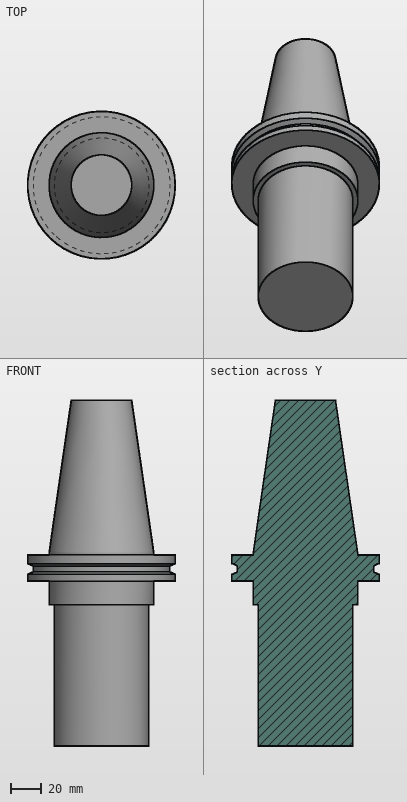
import cadquery as cq
import math

total_height = 230.5
shank_diameter = 63.2
shank_height = 94.0
collar_diameter = 69.9
collar_height = 16.0
flange_diameter = 98.5
flange_height = 17.5
taper_land_height = 1.4
taper_top_diameter = 40.4

groove_floor_diameter = 91.3
groove_floor_width = 4.0
groove_center_above_flange_base = 8.0
groove_wall_angle = 65.0

flange_base = shank_height + collar_height
flange_top = flange_base + flange_height
taper_base = flange_top + taper_land_height


def turned_body():
    """Revolve the stepped half outline of shank, collar, flange and taper."""
    shank_radius = shank_diameter / 2
    collar_radius = collar_diameter / 2
    flange_radius = flange_diameter / 2
    return (
        cq.Workplane("XZ")
        .lineTo(shank_radius, 0)
        .lineTo(shank_radius, shank_height)
        .lineTo(collar_radius, shank_height)
        .lineTo(collar_radius, flange_base)
        .lineTo(flange_radius, flange_base)
        .lineTo(flange_radius, flange_top)
        .lineTo(collar_radius, flange_top)
        .lineTo(collar_radius, taper_base)
        .lineTo(taper_top_diameter / 2, total_height)
        .lineTo(0, total_height)
        .close()
        .revolve(360, (0, 0, 0), (0, 1, 0))
    )


def flange_groove():
    """Ring with a trapezoid section that cuts the groove around the flange rim."""
    floor_radius = groove_floor_diameter / 2
    rim_radius = flange_diameter / 2
    center = flange_base + groove_center_above_flange_base
    floor_half = groove_floor_width / 2
    wall_rise = (rim_radius - floor_radius) / math.tan(math.radians(groove_wall_angle))
    rim_half = floor_half + wall_rise
    return (
        cq.Workplane("XZ")
        .moveTo(floor_radius, center - floor_half)
        .lineTo(rim_radius, center - rim_half)
        .lineTo(rim_radius, center + rim_half)
        .lineTo(floor_radius, center + floor_half)
        .close()
        .revolve(360, (0, 0, 0), (0, 1, 0))
    )


result = turned_body().cut(flange_groove())